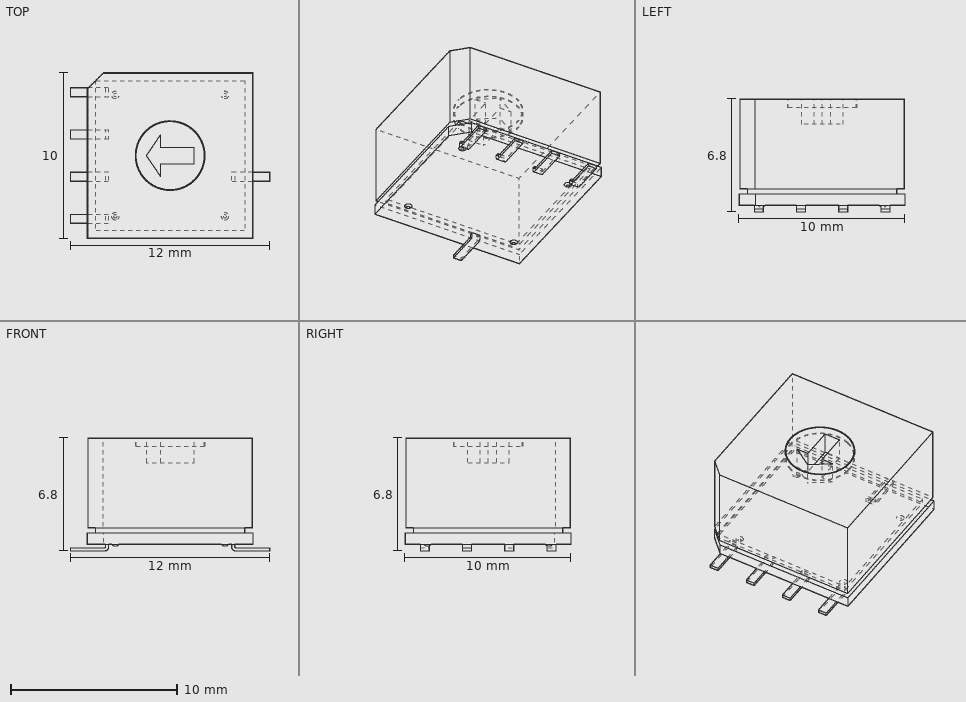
import cadquery as cq

BASE_SIDE = 10.0
BASE_CORNER_CUT = 1.0
BASE_BOTTOM = 0.4
BASE_TOP = 1.1
NECK_SIDE = 9.0
COVER_SIDE = 9.9
COVER_CORNER_CUT = 0.9
COVER_BOTTOM = 1.4
COVER_TOP = 6.8

ROTOR_DIAMETER = 4.1
ROTOR_HOLE_DIAMETER = 4.2
ROTOR_GROOVE_DEPTH = 0.5

ARROW_HALF_LENGTH = 1.43
ARROW_HEAD_BACK_X = -0.58
ARROW_HEAD_HALF_WIDTH = 1.25
ARROW_SHAFT_HALF_WIDTH = 0.5
ARROW_DEPTH = 1.5

TERMINAL_SPAN = 12.0
TERMINAL_PITCH = 2.54
TERMINAL_WIDTH = 0.55
TERMINAL_THICKNESS = 0.2
TERMINAL_LEG_INNER_X = 3.7
BEND_INNER_RADIUS = 0.05
BEND_OUTER_RADIUS = BEND_INNER_RADIUS + TERMINAL_THICKNESS
LEFT_TERMINAL_ROWS = (-1.5, -0.5, 0.5, 1.5)
RIGHT_TERMINAL_ROWS = (-0.5,)

FOOT_BASE_DIAMETER = 0.45
FOOT_TIP_DIAMETER = 0.2
FOOT_HEIGHT = 0.1
FOOT_X = 3.3
FOOT_Y = 3.65


def square_block(side, bottom, top):
    """Square block centred on the Z axis."""
    block = cq.Workplane("XY").workplane(offset=bottom).rect(side, side)
    return block.extrude(top - bottom)


def corner_cut_block(side, bottom, top, corner_cut):
    """Square block with its -X +Y vertical edge chamfered."""
    return square_block(side, bottom, top).edges("|Z and <X and >Y").chamfer(corner_cut)


def make_housing():
    base = corner_cut_block(BASE_SIDE, BASE_BOTTOM, BASE_TOP, BASE_CORNER_CUT)
    neck = square_block(NECK_SIDE, BASE_TOP, COVER_BOTTOM)
    cover = corner_cut_block(COVER_SIDE, COVER_BOTTOM, COVER_TOP, COVER_CORNER_CUT)
    return base.union(neck).union(cover)


def make_rotor_groove():
    ring = cq.Workplane("XY").workplane(offset=COVER_TOP)
    ring = ring.circle(ROTOR_HOLE_DIAMETER / 2).circle(ROTOR_DIAMETER / 2)
    return ring.extrude(-ROTOR_GROOVE_DEPTH)


def make_arrow_slot():
    outline = [
        (-ARROW_HALF_LENGTH, 0),
        (ARROW_HEAD_BACK_X, ARROW_HEAD_HALF_WIDTH),
        (ARROW_HEAD_BACK_X, ARROW_SHAFT_HALF_WIDTH),
        (ARROW_HALF_LENGTH, ARROW_SHAFT_HALF_WIDTH),
        (ARROW_HALF_LENGTH, -ARROW_SHAFT_HALF_WIDTH),
        (ARROW_HEAD_BACK_X, -ARROW_SHAFT_HALF_WIDTH),
        (ARROW_HEAD_BACK_X, -ARROW_HEAD_HALF_WIDTH),
    ]
    slot = cq.Workplane("XY").workplane(offset=COVER_TOP).polyline(outline).close()
    return slot.extrude(-ARROW_DEPTH)


def make_terminal(side, y):
    """Bent L-shaped terminal on the given X side (-1 or 1), centred at y."""
    tip_x = side * TERMINAL_SPAN / 2
    inner_x = side * TERMINAL_LEG_INNER_X
    outer_x = side * (TERMINAL_LEG_INNER_X + TERMINAL_THICKNESS)
    outline = [
        (tip_x, 0),
        (inner_x, 0),
        (inner_x, BASE_BOTTOM),
        (outer_x, BASE_BOTTOM),
        (outer_x, TERMINAL_THICKNESS),
        (tip_x, TERMINAL_THICKNESS),
    ]
    terminal = cq.Workplane("XZ", origin=(0, y, 0)).polyline(outline).close()
    terminal = terminal.extrude(TERMINAL_WIDTH / 2, both=True)
    bend_outside = cq.NearestToPointSelector((inner_x, y, 0))
    bend_inside = cq.NearestToPointSelector((outer_x, y, TERMINAL_THICKNESS))
    terminal = terminal.edges("|Y").edges(bend_outside).fillet(BEND_OUTER_RADIUS)
    return terminal.edges("|Y").edges(bend_inside).fillet(BEND_INNER_RADIUS)


def make_foot(x, y):
    """Round standoff under the base, tapering to a flat tip."""
    profile = (
        cq.Workplane("XZ", origin=(x, y, BASE_BOTTOM))
        .moveTo(0, 0)
        .lineTo(FOOT_BASE_DIAMETER / 2, 0)
        .lineTo(FOOT_TIP_DIAMETER / 2, -FOOT_HEIGHT)
        .lineTo(0, -FOOT_HEIGHT)
        .close()
    )
    axis_start = (0, 0)
    axis_end = (0, 1)
    full_turn = 360
    return profile.revolve(full_turn, axis_start, axis_end)


result = make_housing().cut(make_rotor_groove()).cut(make_arrow_slot())
for row in LEFT_TERMINAL_ROWS:
    result = result.union(make_terminal(-1, row * TERMINAL_PITCH))
for row in RIGHT_TERMINAL_ROWS:
    result = result.union(make_terminal(1, row * TERMINAL_PITCH))
for foot_x in (-FOOT_X, FOOT_X):
    for foot_y in (-FOOT_Y, FOOT_Y):
        result = result.union(make_foot(foot_x, foot_y))